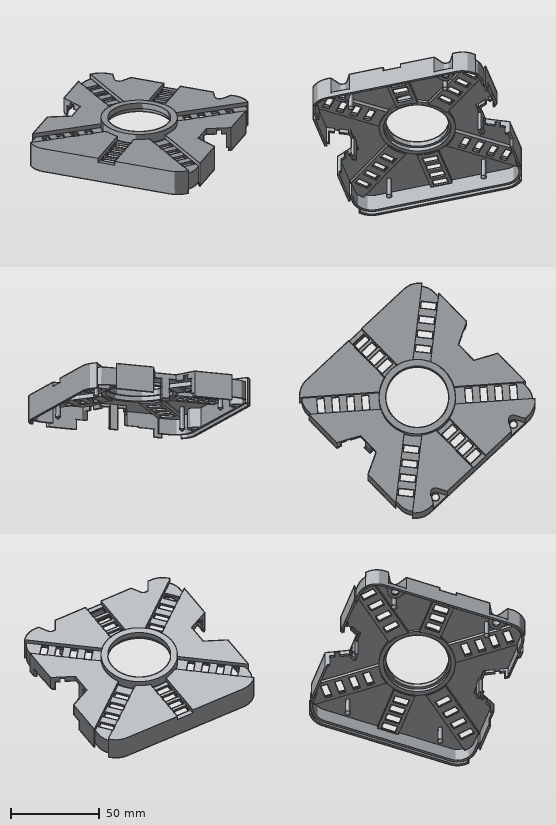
import cadquery as cq
import math

SKIRT_BOTTOM = 1.2
CORE_BOTTOM = 3.3
FLOOR_BOTTOM = 12.0
RING_BOTTOM = 12.9
FLOOR_TOP = 13.3
DECK_BOTTOM = 14.4
DECK_TOP = 15.7
RING_TOP = 18.9

HALF_SIZE = 50.8
CORNER_RADIUS = 12.7
WALL = 1.2
CORE_HALF = HALF_SIZE - WALL
CAVITY_HALF = CORE_HALF - WALL
THIN_WALL_HALF_LENGTH = 32.5

RING_RADIUS = 43.2 / 2
BORE_RADIUS = 35.6 / 2
RECESS_RADIUS = 38.1 / 2
RECESS_TOP = 15.4

CHANNEL_WIDTH = 10.1
CHANNEL_ANGLE = 39.6
WINDOW_COUNT = 4
STRAIGHT_WINDOW = (4.5, 8.5)
STRAIGHT_FIRST, STRAIGHT_PITCH = 26.5, 6.4
DIAGONAL_WINDOW = (4.1, 8.5)
DIAGONAL_FIRST, DIAGONAL_PITCH = 29.3, 8.4

NOTCH_FLOOR_X = 38.3
NOTCH_MOUTH_HALF = 12.7
NOTCH_FLOOR_HALF = 6.4
RIB_WIDTH = 1.4
RIB_SLOT_X = 44.7
RIB_SLOT_LENGTH = 2.8

CLIP_WIDTH = 4.6
CLIP_THICKNESS = 1.8
HOOK_REACH = 1.0
HOOK_LEDGE_Z = 1.4
HOOK_TIP_INSET = 0.5

OPENING_INNER_Y = 10.2
OPENING_BASE_Z = -2.0
LONG_OPENING_STEP_Y, LONG_OPENING_END_Y = 20.8, 31.0
LONG_OPENING_HIGH_Z, LONG_OPENING_LOW_Z = 7.3, 6.9
SHORT_OPENING_END_Y, SHORT_OPENING_Z = 18.7, 8.0

PIN_X, PIN_Y = 27.8, 38.1
PIN_RADIUS = 2.5 / 2
PIN_HEAD_RADIUS = 1.5
PIN_HEAD_BULGE = 0.08
PIN_HEAD_BOTTOM, PIN_TIP = 1.7, 0.3

SEAT_X, SEAT_Y = 30.5, 46.8
SEAT_RADIUS = 2.8
SEAT_FLANK_ANGLE = math.radians(29)
SEAT_FLOOR = 4.5
SCREW_HOLE_RADIUS = 4.3 / 2


def rounded_square(half_size, bottom, top):
    """Square plate whose corner centres stay those of the outer body."""
    radius = CORNER_RADIUS - (HALF_SIZE - half_size)
    plate = cq.Workplane("XY").workplane(offset=bottom).rect(2 * half_size, 2 * half_size)
    return plate.extrude(top - bottom).edges("|Z").fillet(radius)


def disc(radius, bottom, top, x=0.0, y=0.0):
    return cq.Workplane("XY", origin=(x, y, bottom)).circle(radius).extrude(top - bottom)


def prism(points, bottom, top):
    return cq.Workplane("XY").workplane(offset=bottom).polyline(points).close().extrude(top - bottom)


def bar(angle, width, bottom, top):
    """Long bar through the Z axis, turned by angle from the X axis."""
    length = 4 * HALF_SIZE
    block = cq.Workplane("XY").workplane(offset=bottom).rect(length, width).extrude(top - bottom)
    return block.rotate((0, 0, 0), (0, 0, 1), angle)


def both_sides(shape):
    """The shape together with its mirror image across X = 0."""
    return shape.union(shape.mirror("YZ"))


def window_row(angle, size, first, pitch):
    """Windows along both arms of a channel."""
    distances = [first + pitch * i for i in range(WINDOW_COUNT)]
    points = [(side * d, 0) for d in distances for side in (-1, 1)]
    row = cq.Workplane("XY").workplane(offset=FLOOR_BOTTOM).pushPoints(points)
    return row.rect(*size).extrude(DECK_TOP - FLOOR_BOTTOM).rotate((0, 0, 0), (0, 0, 1), angle)


def make_shell():
    """Deck with a full-height skirt, cut away over the diagonals to a smaller core."""
    shell = rounded_square(HALF_SIZE, SKIRT_BOTTOM, DECK_TOP)
    for angle in (CHANNEL_ANGLE, -CHANNEL_ANGLE):
        shell = shell.cut(bar(angle, CHANNEL_WIDTH, SKIRT_BOTTOM, DECK_TOP))
    shell = shell.cut(bar(90, CHANNEL_WIDTH, FLOOR_TOP, DECK_TOP))
    shell = shell.union(rounded_square(CORE_HALF, CORE_BOTTOM, FLOOR_TOP))
    shell = shell.cut(rounded_square(CORE_HALF, SKIRT_BOTTOM, CORE_BOTTOM))
    shell = shell.cut(rounded_square(CAVITY_HALF, SKIRT_BOTTOM, DECK_BOTTOM))
    widening = cq.Workplane("XY", origin=(0, 0, SKIRT_BOTTOM)).rect(2 * CORE_HALF, 2 * THIN_WALL_HALF_LENGTH)
    return shell.cut(widening.extrude(DECK_BOTTOM - SKIRT_BOTTOM))


def make_troughs():
    """Channel floors with side walls that carry them from the deck, from the ring outward."""
    angles = (90, CHANNEL_ANGLE, -CHANNEL_ANGLE)
    trough_width = CHANNEL_WIDTH + 2 * WALL
    troughs = cq.Workplane("XY")
    for angle in angles:
        troughs = troughs.add(bar(angle, trough_width, FLOOR_BOTTOM, DECK_TOP))
    troughs = troughs.combine()
    troughs = troughs.intersect(rounded_square(CORE_HALF, FLOOR_BOTTOM, DECK_TOP))
    for angle in angles:
        troughs = troughs.cut(bar(angle, CHANNEL_WIDTH, FLOOR_TOP, DECK_TOP))
    return troughs.cut(disc(RING_RADIUS, FLOOR_BOTTOM, DECK_TOP))


def make_notch():
    points = [
        (-HALF_SIZE, -NOTCH_MOUTH_HALF),
        (-NOTCH_FLOOR_X, -NOTCH_FLOOR_HALF),
        (-NOTCH_FLOOR_X, NOTCH_FLOOR_HALF),
        (-HALF_SIZE, NOTCH_MOUTH_HALF),
    ]
    return prism(points, SKIRT_BOTTOM, DECK_TOP)


def make_notch_ribs():
    """Slanted ribs that border the notch below the deck, deeper next to the side wall."""
    points = [
        (-HALF_SIZE, NOTCH_MOUTH_HALF),
        (-NOTCH_FLOOR_X, NOTCH_FLOOR_HALF),
        (-NOTCH_FLOOR_X, NOTCH_FLOOR_HALF + RIB_WIDTH),
        (-HALF_SIZE, NOTCH_MOUTH_HALF + RIB_WIDTH),
    ]
    deep_end = cq.Workplane("XY").box(
        HALF_SIZE - CAVITY_HALF,
        HALF_SIZE,
        DECK_TOP - CORE_BOTTOM,
        centered=False,
    ).translate((-HALF_SIZE, 0, CORE_BOTTOM))
    rib = prism(points, FLOOR_BOTTOM, DECK_TOP)
    rib = rib.union(prism(points, CORE_BOTTOM, DECK_TOP).intersect(deep_end))
    back_wall = cq.Workplane("XY").box(
        WALL,
        2 * (NOTCH_FLOOR_HALF + RIB_WIDTH),
        DECK_TOP - RING_BOTTOM,
        centered=(False, True, False),
    ).translate((-NOTCH_FLOOR_X, 0, RING_BOTTOM))
    return rib.union(rib.mirror("XZ")).union(back_wall)


def make_rib_slots():
    """Slots square through the ribs, open at the bottom."""
    slope = (NOTCH_MOUTH_HALF - NOTCH_FLOOR_HALF) / (HALF_SIZE - NOTCH_FLOOR_X)
    slot_y = NOTCH_FLOOR_HALF + (RIB_SLOT_X - NOTCH_FLOOR_X) * slope
    slot = cq.Workplane("XY").rect(RIB_SLOT_LENGTH, 2 * RIB_WIDTH).extrude(DECK_BOTTOM - FLOOR_BOTTOM)
    slot = slot.rotate((0, 0, 0), (0, 0, 1), -math.degrees(math.atan(slope)))
    slot = slot.translate((-RIB_SLOT_X, slot_y, FLOOR_BOTTOM))
    return slot.union(slot.mirror("XZ"))


def make_clip():
    """Hanging tongue with an outward wedge hook at its tip."""
    outer_x = -NOTCH_FLOOR_X
    inner_x = outer_x + CLIP_THICKNESS
    profile = [
        (inner_x, DECK_TOP),
        (outer_x, DECK_TOP),
        (outer_x, HOOK_LEDGE_Z),
        (outer_x - HOOK_REACH, HOOK_LEDGE_Z),
        (outer_x + HOOK_TIP_INSET, 0),
        (inner_x, 0),
    ]
    return cq.Workplane("XZ").polyline(profile).close().extrude(CLIP_WIDTH / 2, both=True)


def bevelled_opening(points):
    """Opening in the -X wall from its (Y, Z) outline, narrowing inward at 45 degrees."""
    outline = cq.Workplane("YZ", origin=(-HALF_SIZE, 0, 0)).polyline(points).close()
    bevel = outline.extrude(WALL, taper=45)
    return bevel.union(bevel.faces(">X").wires().toPending().workplane().extrude(WALL, combine=False))


def make_openings():
    long_opening = bevelled_opening([
        (OPENING_INNER_Y, OPENING_BASE_Z),
        (LONG_OPENING_END_Y, OPENING_BASE_Z),
        (LONG_OPENING_END_Y, LONG_OPENING_LOW_Z),
        (LONG_OPENING_STEP_Y, LONG_OPENING_LOW_Z),
        (LONG_OPENING_STEP_Y, LONG_OPENING_HIGH_Z),
        (OPENING_INNER_Y, LONG_OPENING_HIGH_Z),
    ])
    short_opening = bevelled_opening([
        (-OPENING_INNER_Y, OPENING_BASE_Z),
        (-OPENING_INNER_Y, SHORT_OPENING_Z),
        (-SHORT_OPENING_END_Y, SHORT_OPENING_Z),
        (-SHORT_OPENING_END_Y, OPENING_BASE_Z),
    ])
    return long_opening.union(short_opening)


def make_pin():
    """Post below the deck with a bulging, pointed head."""
    profile = cq.Workplane("XZ").moveTo(0, PIN_TIP).lineTo(PIN_HEAD_RADIUS, PIN_HEAD_BOTTOM)
    bulge_x = (PIN_HEAD_RADIUS + PIN_RADIUS) / 2 + PIN_HEAD_BULGE
    bulge_z = (PIN_HEAD_BOTTOM + CORE_BOTTOM) / 2
    profile = profile.threePointArc((bulge_x, bulge_z), (PIN_RADIUS, CORE_BOTTOM))
    profile = profile.lineTo(PIN_RADIUS, DECK_TOP).lineTo(0, DECK_TOP).close()
    return profile.revolve(360, (0, 0), (0, 1))


def seat_solid(radius, bottom, top):
    """Round seat on the -X side, opening toward +Y through flanks tangent to it."""
    tangent_x = radius * math.cos(SEAT_FLANK_ANGLE)
    tangent_y = SEAT_Y - radius * math.sin(SEAT_FLANK_ANGLE)
    mouth_x = tangent_x + (HALF_SIZE - tangent_y) * math.tan(SEAT_FLANK_ANGLE)
    flanks = prism([
        (-SEAT_X - tangent_x, tangent_y),
        (-SEAT_X + tangent_x, tangent_y),
        (-SEAT_X + mouth_x, HALF_SIZE),
        (-SEAT_X - mouth_x, HALF_SIZE),
    ], bottom, top)
    seat = flanks.union(disc(radius, bottom, top, -SEAT_X, SEAT_Y))
    return seat.intersect(rounded_square(HALF_SIZE, bottom, top))


body = make_shell().union(make_troughs()).union(both_sides(make_notch_ribs()))
body = body.cut(both_sides(make_notch()))
body = body.cut(both_sides(make_rib_slots()))
body = body.cut(make_openings())

for angle in (CHANNEL_ANGLE, -CHANNEL_ANGLE):
    body = body.cut(window_row(angle, DIAGONAL_WINDOW, DIAGONAL_FIRST, DIAGONAL_PITCH))
body = body.cut(window_row(90, STRAIGHT_WINDOW, STRAIGHT_FIRST, STRAIGHT_PITCH))

body = body.union(both_sides(make_clip()))
for y in (-PIN_Y, PIN_Y):
    body = body.union(both_sides(make_pin().translate((-PIN_X, y, 0))))

body = body.union(both_sides(seat_solid(SEAT_RADIUS + WALL, CORE_BOTTOM, DECK_TOP)))
body = body.cut(both_sides(seat_solid(SEAT_RADIUS, SEAT_FLOOR, DECK_TOP)))
body = body.cut(both_sides(disc(SCREW_HOLE_RADIUS, CORE_BOTTOM, DECK_TOP, -SEAT_X, SEAT_Y)))

body = body.union(disc(RING_RADIUS, RING_BOTTOM, RING_TOP))
body = body.cut(disc(BORE_RADIUS, RING_BOTTOM, RING_TOP))
result = body.cut(disc(RECESS_RADIUS, RING_BOTTOM, RECESS_TOP))